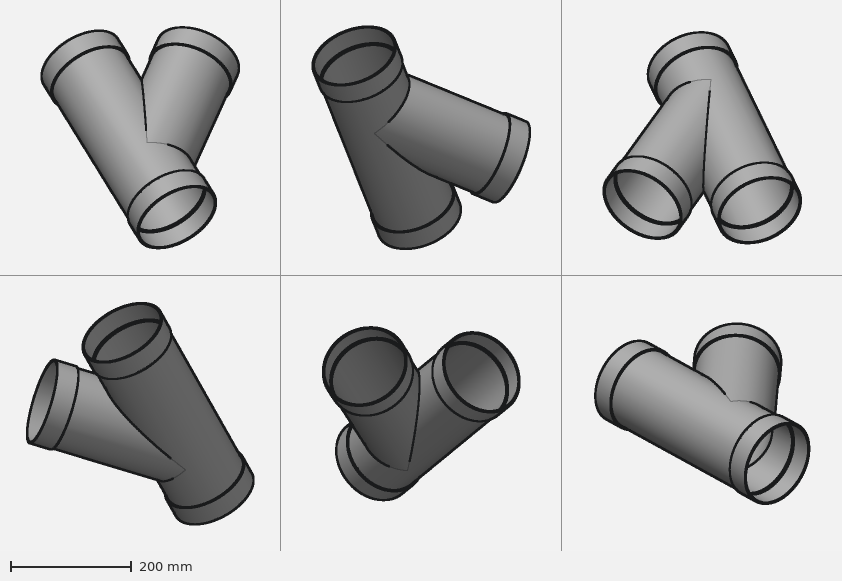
import cadquery as cq
import math

run_length = 368.0
pipe_outer_diameter = 140.0
pipe_bore_diameter = 135.0
socket_outer_diameter = 145.0
socket_bore_diameter = pipe_outer_diameter
socket_length = 37.0
socket_bore_depth = 35.0
stop_length = (socket_bore_diameter - pipe_bore_diameter) / 2

branch_angle = 45.0
branch_length = 254.0
branch_offset = 70.3

angle = math.radians(branch_angle)
run_direction = cq.Vector(1, 0, 0)
branch_direction = cq.Vector(-math.cos(angle), math.sin(angle), 0)
run_start = cq.Vector(-run_length / 2, 0, 0)
run_end = cq.Vector(run_length / 2, 0, 0)
axis_crossing = cq.Vector(branch_offset, 0, 0)
branch_mouth = axis_crossing + branch_direction * branch_length

ends = [
    (run_start, run_direction),
    (run_end, -run_direction),
    (branch_mouth, -branch_direction),
]


def cylinder(diameter, length, start, direction):
    """Solid cylinder running from start along direction."""
    return cq.Workplane(cq.Solid.makeCylinder(diameter / 2, length, start, direction))


def pipes(diameter):
    """Run and branch cylinders of one diameter, merged at the axis crossing."""
    run = cylinder(diameter, run_length, run_start, run_direction)
    branch = cylinder(diameter, branch_length, axis_crossing, branch_direction)
    return run.union(branch)


def add_sockets(body, diameter, length):
    """Widen all three ends of the body over the given length."""
    for mouth, inward in ends:
        body = body.union(cylinder(diameter, length, mouth, inward))
    return body


def add_stop_cones(space):
    """Taper each socket bore down to the pipe bore."""
    for mouth, inward in ends:
        cone = cq.Solid.makeCone(
            socket_bore_diameter / 2,
            pipe_bore_diameter / 2,
            stop_length,
            mouth + inward * socket_bore_depth,
            inward,
        )
        space = space.union(cq.Workplane(cone))
    return space


outer_body = add_sockets(pipes(pipe_outer_diameter), socket_outer_diameter, socket_length)
inner_space = add_sockets(pipes(pipe_bore_diameter), socket_bore_diameter, socket_bore_depth)
inner_space = add_stop_cones(inner_space)

result = outer_body.cut(inner_space)